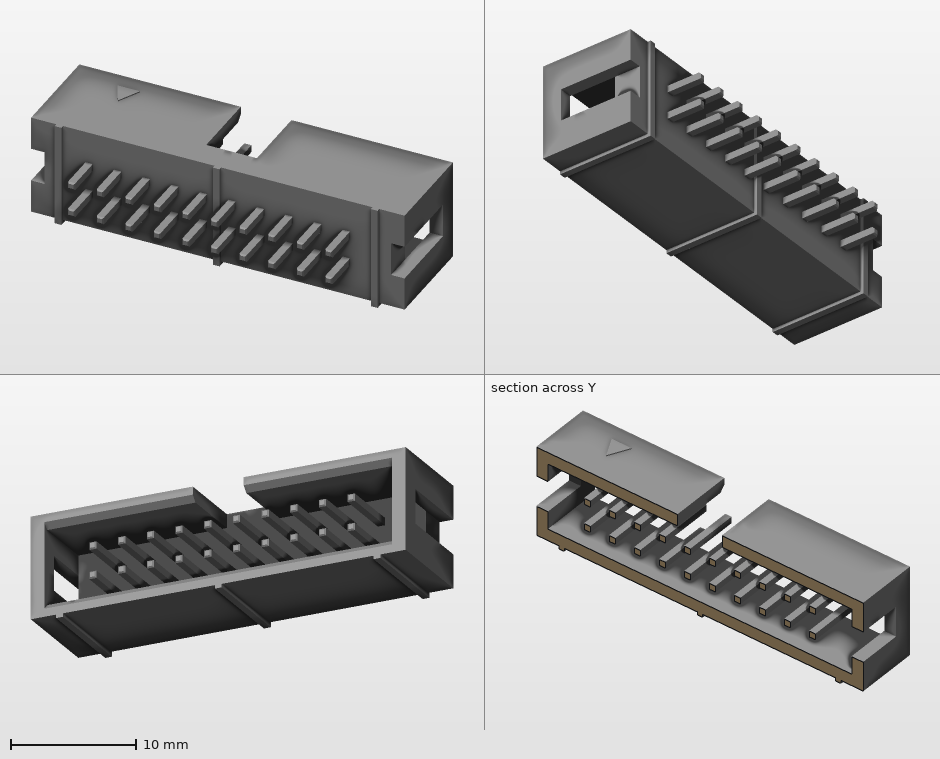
import cadquery as cq

body_length = 33.2
body_depth = 8.8
body_height = 8.9
end_wall = 1.2
side_wall = 1.2
cavity_depth = 6.3
lip_chamfer_depth = 0.5
lip_chamfer_inset = 0.5

key_notch_width = 4.5
end_slot_height = 3.0
end_slot_margin = 1.8

rib_width = 0.6
rib_height = 0.3
rib_spacing = 14.05

pitch = 2.54
columns = 10
rows = 2
pin_width = 0.64
pin_tail = 3.3
pin_mouth_gap = 0.6
pin_tip_chamfer = 0.12

marker_size = 2.0
marker_height = 0.1
marker_margin = 1.6

mouth_y = body_depth / 2
base_y = -body_depth / 2
top_z = body_height / 2
bottom_z = -body_height / 2
cavity_floor_y = mouth_y - cavity_depth
first_pin_x = -(columns - 1) * pitch / 2
first_pin_z = -(rows - 1) * pitch / 2


def block(x_range, y_range, z_range):
    """Box given by its lower and upper limits along each axis."""
    (x0, x1), (y0, y1), (z0, z1) = x_range, y_range, z_range
    return cq.Workplane("XY").box(x1 - x0, y1 - y0, z1 - z0, centered=False).translate((x0, y0, z0))


def cavity():
    """Mating cavity, with its mouth flared along the two long walls."""
    cavity_half = body_length / 2 - end_wall
    inner_z = top_z - side_wall
    flared_z = inner_z + lip_chamfer_inset
    flare_y = mouth_y - lip_chamfer_depth
    outline = [
        (cavity_floor_y, -inner_z),
        (flare_y, -inner_z),
        (mouth_y, -flared_z),
        (mouth_y, flared_z),
        (flare_y, inner_z),
        (cavity_floor_y, inner_z),
    ]
    return cq.Workplane("YZ").polyline(outline).close().extrude(cavity_half, both=True)


def key_notch():
    """Polarising notch through the top wall, open at the mouth."""
    half = key_notch_width / 2
    return block((-half, half), (cavity_floor_y, mouth_y), (0, top_z))


def end_slots():
    """Slots through both end walls, open at the pin side."""
    half = body_length / 2
    height = (-end_slot_height / 2, end_slot_height / 2)
    depth = (base_y, mouth_y - end_slot_margin)
    left = block((-half, -half + end_wall), depth, height)
    return left.union(left.mirror("YZ"))


def rib(x):
    """L-shaped standoff rib along the pin side and the underside."""
    return block(
        (x - rib_width / 2, x + rib_width / 2),
        (base_y - rib_height, mouth_y),
        (bottom_z - rib_height, top_z),
    )


def pin(x, z):
    """Square pin with chamfered tips at both ends."""
    half = pin_width / 2
    length = (base_y - pin_tail, mouth_y - pin_mouth_gap)
    blank = block((x - half, x + half), length, (z - half, z + half))
    return blank.faces("<Y or >Y").chamfer(pin_tip_chamfer)


def pin_one_marker():
    """Raised triangle above pin 1, pointing to the pin side."""
    back_y = mouth_y - marker_margin
    outline = [
        (first_pin_x - marker_size / 2, back_y),
        (first_pin_x + marker_size / 2, back_y),
        (first_pin_x, back_y - marker_size),
    ]
    return cq.Workplane("XY").workplane(offset=top_z).polyline(outline).close().extrude(marker_height)


result = cq.Workplane("XY").box(body_length, body_depth, body_height)

for rib_x in (-rib_spacing, 0, rib_spacing):
    result = result.union(rib(rib_x))

result = result.cut(cavity()).cut(key_notch()).cut(end_slots())
result = result.union(pin_one_marker())

for column in range(columns):
    for row in range(rows):
        result = result.union(pin(first_pin_x + column * pitch, first_pin_z + row * pitch))